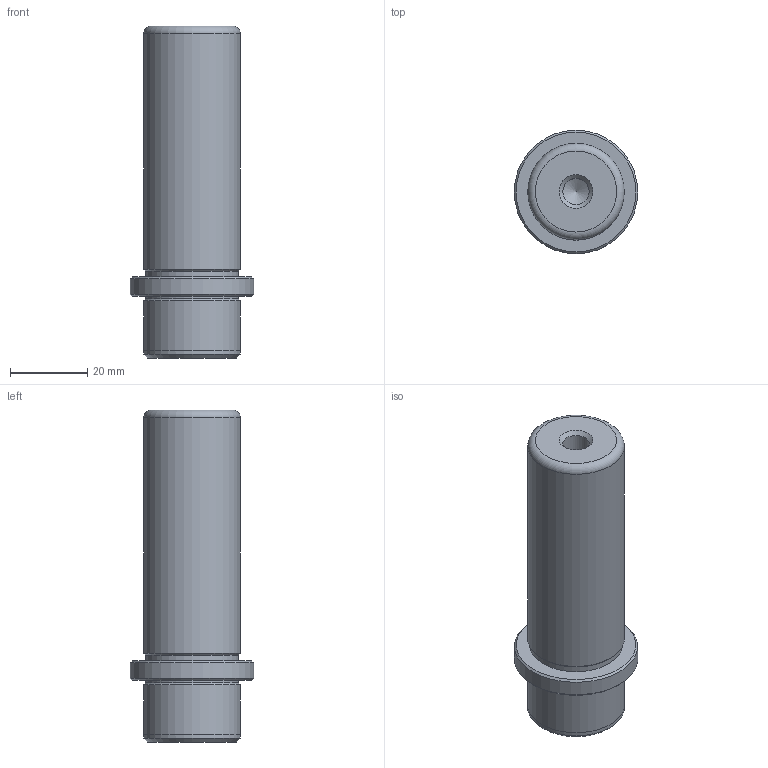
import cadquery as cq
import math

total_height = 86.0
collar_bottom = 16.0
collar_thickness = 5.0
collar_top = collar_bottom + collar_thickness
lower_groove_width = 0.7
upper_groove_width = 1.5

shaft_diameter = 25.0
collar_diameter = 32.0
groove_depth = 0.5
lead_in_clearance = 0.01

top_fillet = 2.0
bottom_chamfer = 1.0
lead_in_height = 2.0
collar_chamfer = 0.5

hole_diameter = 6.8
hole_mouth_diameter = 8.8
hole_depth = 20.0
drill_point_angle = 118.0

shaft_radius = shaft_diameter / 2
collar_radius = collar_diameter / 2
groove_radius = shaft_radius - groove_depth
lead_in_radius = shaft_radius - lead_in_clearance


def make_pin():
    """Revolved pin: press-in end, collar between two relief grooves, guide shaft."""
    lower_groove_bottom = collar_bottom - lower_groove_width
    upper_groove_top = collar_top + upper_groove_width
    collar_edge_radius = collar_radius - collar_chamfer
    fillet_centre_radius = shaft_radius - top_fillet
    fillet_centre_z = total_height - top_fillet
    fillet_mid_offset = top_fillet * math.sqrt(0.5)

    profile = (
        cq.Workplane("XZ")
        .moveTo(0, 0)
        .lineTo(lead_in_radius - bottom_chamfer, 0)
        .lineTo(lead_in_radius, bottom_chamfer)
        .lineTo(shaft_radius, lead_in_height)
        .lineTo(shaft_radius, lower_groove_bottom - groove_depth)
        .lineTo(groove_radius, lower_groove_bottom)
        .lineTo(groove_radius, collar_bottom)
        .lineTo(collar_edge_radius, collar_bottom)
        .lineTo(collar_radius, collar_bottom + collar_chamfer)
        .lineTo(collar_radius, collar_top - collar_chamfer)
        .lineTo(collar_edge_radius, collar_top)
        .lineTo(groove_radius, collar_top)
        .lineTo(groove_radius, upper_groove_top)
        .lineTo(shaft_radius, upper_groove_top + groove_depth)
        .lineTo(shaft_radius, fillet_centre_z)
        .threePointArc(
            (fillet_centre_radius + fillet_mid_offset, fillet_centre_z + fillet_mid_offset),
            (fillet_centre_radius, total_height),
        )
        .lineTo(0, total_height)
        .close()
    )
    return profile.revolve(360, (0, 0, 0), (0, 1, 0))


def make_hole_cutter():
    """Blind hole with a 45-degree countersunk mouth and a conical drill point."""
    hole_radius = hole_diameter / 2
    mouth_radius = hole_mouth_diameter / 2
    countersink_depth = mouth_radius - hole_radius
    point_height = hole_radius / math.tan(math.radians(drill_point_angle / 2))
    hole_floor = total_height - hole_depth

    profile = (
        cq.Workplane("XZ")
        .moveTo(0, hole_floor - point_height)
        .lineTo(hole_radius, hole_floor)
        .lineTo(hole_radius, total_height - countersink_depth)
        .lineTo(mouth_radius, total_height)
        .lineTo(0, total_height)
        .close()
    )
    return profile.revolve(360, (0, 0, 0), (0, 1, 0))


result = make_pin().cut(make_hole_cutter())